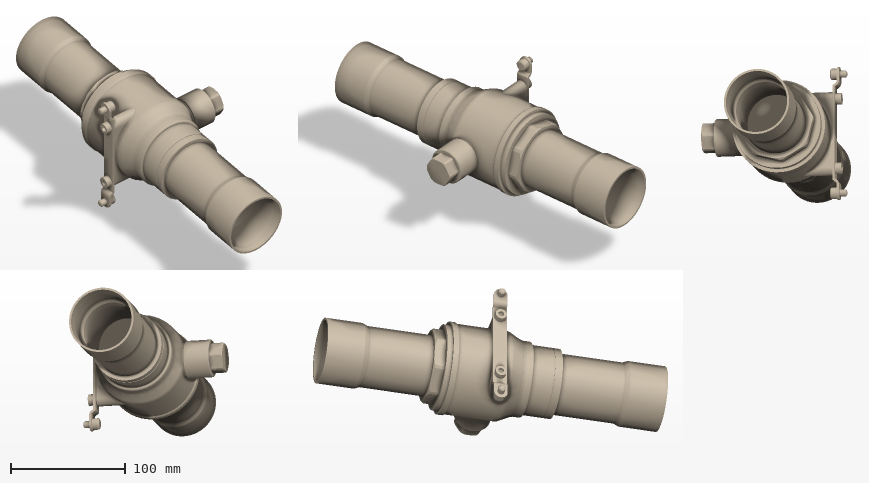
import cadquery as cq
import math


HEX_SIDES = 6

LENGTH = 305.0
LEFT_END = -150.7
RIGHT_END = LEFT_END + LENGTH
TUBE_DIA = 54.0
TUBE_BORE = 50.0
SOCKET_DIA = 58.0
SOCKET_BORE = 54.3
SOCKET_DEPTH = 33.5
SOCKET_TAPER = 4.5

NUT_LEFT = -55.5
NUT_CORNER_DIA = 66.0
NUT_FLATS = 62.0
NUT_SIDES = 8
NUT_TURN = 8.0
NUT_CHAMFER = 1.5

RING_LEFT = -45.8
RING_DIA = 76.0
FLANGE_LEFT = -41.0
FLANGE_DIA = 82.0
BODY_LEFT = -36.0
BODY_DIA = 80.0
CONE_LEFT = 12.0
CONE_RIGHT = 24.7
NECK_DIA = 67.0
NECK_RIGHT = 33.5
SLEEVE_DIA = 62.0
SLEEVE_RIGHT = 59.5
GROOVE_DIA = 61.0
GROOVE_LEFT = 52.0
GROOVE_WIDTH = 1.0
FLANGE_TAPER = 1.5
CONE_FILLET = 5.5
NECK_FILLET = 1.8

STEM_ROOT_DIA = 29.5
STEM_ROOT_FILLET = 1.5
STEM_DIA = 33.0
STEM_BOTTOM = 40.3
STEM_TOP = 62.5
STEM_CHAMFER = 0.5
CAP_DIA = 27.0
CAP_FLATS = 24.0
CAP_TOP = 74.0
CAP_CHAMFER = 1.0

STRIP_WIDTH = 12.2
STRIP_THICKNESS = 2.0
STRIP_INNER_Y = -41.2
STRIP_OUTER_Y = STRIP_INNER_Y - STRIP_THICKNESS
STRIP_LENGTH = 118.0
STRIP_HALF_LENGTH = STRIP_LENGTH / 2
BEND_OFFSET = 3.7
BEND_START = 41.0
BEND_RISE = 2.7
BEND_RADIUS = 4.5

LUG_SCREW_SPACING = 62.0
LUG_SCREW_Z = LUG_SCREW_SPACING / 2
LUG_FILLET = 1.5
LUG_CHAMFER = 1.0

HEAD_DIA = 10.0
LUG_HEAD_HEIGHT = 5.2
HEX_SOCKET_FLATS = 5.0
HEX_SOCKET_DEPTH = 2.5
END_HEAD_HEIGHT = 6.0
END_HEAD_CHAMFER = 1.0
END_SCREW_Z = STRIP_HALF_LENGTH - STRIP_WIDTH / 2
PIN_DIA = 6.0
PIN_TIP_Y = -53.0
PIN_CHAMFER = 1.0

TOLERANCE = 0.03


def turned(points):
    """Solid of revolution about X from (x, diameter) points."""
    outline = [(x, dia / 2) for x, dia in points]
    axis_points = [(points[-1][0], 0), (points[0][0], 0)]
    profile = cq.Workplane("XY").polyline(outline + axis_points).close()
    return profile.revolve(360, (0, 0, 0), (1, 0, 0))


def cylinder_along_y(dia, y_from, y_to, z=0):
    return cq.Workplane("XZ", origin=(0, y_from, z)).circle(dia / 2).extrude(y_from - y_to)


def polygon_corner_dia(flats, sides):
    return flats / math.cos(math.pi / sides)


def fillet_ring(solid, x, dia, radius):
    """Round the circular edge of the given diameter at position x."""
    ring = solid.edges("%CIRCLE").filter(
        lambda edge: abs(edge.Center().x - x) < TOLERANCE
        and abs(edge.radius() - dia / 2) < TOLERANCE
    )
    return ring.fillet(radius)


def make_body():
    socket_left = LEFT_END + SOCKET_DEPTH
    socket_right = RIGHT_END - SOCKET_DEPTH
    groove_right = GROOVE_LEFT + GROOVE_WIDTH
    body = turned([
        (LEFT_END, SOCKET_DIA),
        (socket_left, SOCKET_DIA),
        (socket_left + SOCKET_TAPER, TUBE_DIA),
        (RING_LEFT, TUBE_DIA),
        (RING_LEFT, RING_DIA),
        (FLANGE_LEFT, RING_DIA),
        (FLANGE_LEFT, FLANGE_DIA),
        (BODY_LEFT, FLANGE_DIA),
        (BODY_LEFT + FLANGE_TAPER, BODY_DIA),
        (CONE_LEFT, BODY_DIA),
        (CONE_RIGHT, NECK_DIA),
        (NECK_RIGHT, NECK_DIA),
        (NECK_RIGHT, SLEEVE_DIA),
        (GROOVE_LEFT, SLEEVE_DIA),
        (GROOVE_LEFT, GROOVE_DIA),
        (groove_right, GROOVE_DIA),
        (groove_right, SLEEVE_DIA),
        (SLEEVE_RIGHT, SLEEVE_DIA),
        (SLEEVE_RIGHT, TUBE_DIA),
        (socket_right - SOCKET_TAPER, TUBE_DIA),
        (socket_right, SOCKET_DIA),
        (RIGHT_END, SOCKET_DIA),
    ])
    body = fillet_ring(body, CONE_LEFT, BODY_DIA, CONE_FILLET)
    body = fillet_ring(body, CONE_RIGHT, NECK_DIA, CONE_FILLET)
    return fillet_ring(body, NECK_RIGHT, NECK_DIA, NECK_FILLET)


def make_bore(end, bottom):
    """Blind bore of one pipe stub, widened to a socket at its open end."""
    inward = math.copysign(1, bottom - end)
    socket_end = end + inward * SOCKET_DEPTH
    return turned([
        (end, SOCKET_BORE),
        (socket_end, SOCKET_BORE),
        (socket_end + inward * SOCKET_TAPER, TUBE_BORE),
        (bottom, TUBE_BORE),
    ])


def make_nut():
    corner_dia = polygon_corner_dia(NUT_FLATS, NUT_SIDES)
    width = RING_LEFT - NUT_LEFT
    octagon = (
        cq.Workplane("YZ", origin=(NUT_LEFT, 0, 0))
        .transformed(rotate=(0, 0, -NUT_TURN))
        .polygon(NUT_SIDES, corner_dia)
        .extrude(width)
    )
    blank = cq.Workplane("YZ", origin=(NUT_LEFT, 0, 0)).circle(NUT_CORNER_DIA / 2).extrude(width)
    return octagon.intersect(blank.faces("<X").chamfer(NUT_CHAMFER))


def make_stem():
    housing = cylinder_along_y(STEM_DIA, STEM_BOTTOM, STEM_TOP).faces(">Y").chamfer(STEM_CHAMFER)
    hexagon = (
        cq.Workplane("XZ", origin=(0, STEM_TOP, 0))
        .polygon(HEX_SIDES, polygon_corner_dia(CAP_FLATS, HEX_SIDES))
        .extrude(STEM_TOP - CAP_TOP)
    )
    cap_blank = cylinder_along_y(CAP_DIA, STEM_TOP, CAP_TOP).faces(">Y").chamfer(CAP_CHAMFER)
    return housing.union(hexagon.intersect(cap_blank))


def make_lug():
    length = LUG_SCREW_SPACING + STRIP_WIDTH
    lug = cq.Workplane("XZ").slot2D(length, STRIP_WIDTH, 90).extrude(-STRIP_INNER_Y)
    return lug.faces("<Y").chamfer(LUG_CHAMFER)


def make_strip():
    bend_end = BEND_START + BEND_RISE
    inner_shift = STRIP_THICKNESS * math.tan(math.atan2(BEND_OFFSET, BEND_RISE) / 2)
    upper_side = [
        (STRIP_OUTER_Y, BEND_START),
        (STRIP_OUTER_Y - BEND_OFFSET, bend_end),
        (STRIP_OUTER_Y - BEND_OFFSET, STRIP_HALF_LENGTH),
        (STRIP_INNER_Y - BEND_OFFSET, STRIP_HALF_LENGTH),
        (STRIP_INNER_Y - BEND_OFFSET, bend_end + inner_shift),
        (STRIP_INNER_Y, BEND_START + inner_shift),
    ]
    lower_side = [(y, -z) for y, z in reversed(upper_side)]
    strip = (
        cq.Workplane("YZ").polyline(upper_side + lower_side).close().extrude(STRIP_WIDTH / 2, both=True)
    )
    for z in (-bend_end, bend_end):
        corner = (0, STRIP_OUTER_Y - BEND_OFFSET, z)
        strip = strip.edges(cq.NearestToPointSelector(corner)).fillet(BEND_RADIUS)
    outline = cq.Workplane("XZ").slot2D(STRIP_LENGTH, STRIP_WIDTH, 90)
    return strip.intersect(outline.extrude(-PIN_TIP_Y))


def make_lug_screw(z):
    head_top = STRIP_OUTER_Y - LUG_HEAD_HEIGHT
    head = cylinder_along_y(HEAD_DIA, STRIP_OUTER_Y, head_top, z)
    hex_socket = (
        cq.Workplane("XZ", origin=(0, head_top, z))
        .transformed(rotate=(0, 0, 90))
        .polygon(HEX_SIDES, polygon_corner_dia(HEX_SOCKET_FLATS, HEX_SIDES))
        .extrude(-HEX_SOCKET_DEPTH)
    )
    return head.cut(hex_socket)


def make_end_screw(z):
    seat = STRIP_INNER_Y - BEND_OFFSET
    head = cylinder_along_y(HEAD_DIA, seat, seat + END_HEAD_HEIGHT, z)
    pin = cylinder_along_y(PIN_DIA, seat, PIN_TIP_Y, z)
    head = head.faces(">Y").chamfer(END_HEAD_CHAMFER)
    return head.union(pin.faces("<Y").chamfer(PIN_CHAMFER))


def with_lug(body):
    """Join the lug to the body and round the inner corner between them."""
    reach = LUG_SCREW_Z + STRIP_WIDTH / 2
    chamfer_y = STRIP_INNER_Y + LUG_CHAMFER
    corner = cq.selectors.BoxSelector(
        (-STRIP_WIDTH, chamfer_y + TOLERANCE, -reach), (STRIP_WIDTH, 0, reach)
    )
    return body.union(make_lug()).edges("not %LINE").edges(corner).fillet(LUG_FILLET)


def with_stem(body):
    """Join the stem root to the body, round the inner corner and add the stem."""
    root_radius = STEM_ROOT_DIA / 2
    joined = body.union(cylinder_along_y(STEM_ROOT_DIA, 0, STEM_BOTTOM))
    corner = cq.selectors.BoxSelector(
        (-root_radius, root_radius, -root_radius),
        (root_radius, STEM_BOTTOM - TOLERANCE, root_radius),
    )
    rounded = joined.edges("not %LINE").edges(corner).fillet(STEM_ROOT_FILLET)
    return rounded.union(make_stem())


result = make_body().union(make_nut())
result = with_lug(result)
result = with_stem(result)
result = result.union(make_strip())
for side in (-1, 1):
    result = result.union(make_lug_screw(side * LUG_SCREW_Z))
    result = result.union(make_end_screw(side * END_SCREW_Z))
result = result.cut(make_bore(LEFT_END, NUT_LEFT)).cut(make_bore(RIGHT_END, SLEEVE_RIGHT))